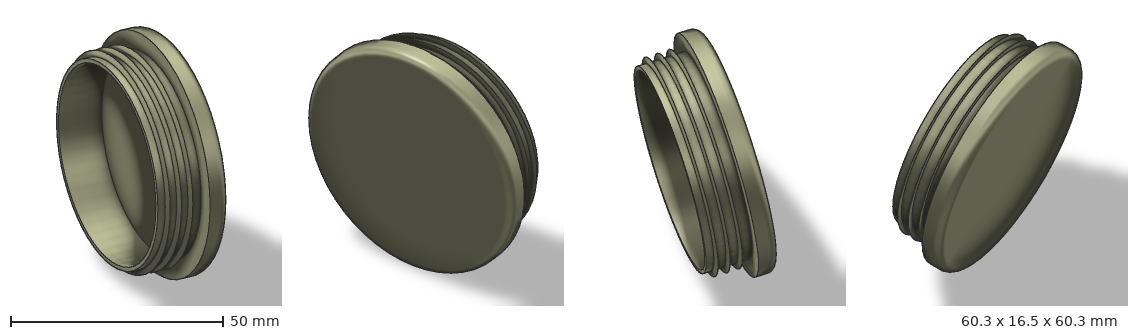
import cadquery as cq

total_length = 16.5
head_diameter = 60.3
head_thickness = 5.0
head_rounding = 2.0

plug_diameter = 51.3
bore_diameter = 49.3
floor_thickness = head_thickness

lip_diameter = 54.35
lip_base_width = 0.5
lip_count = 3
lip_pitch = 3.0
first_lip_offset = 3.0

AXIS_PLANE = "XZ"


def make_head():
    head = cq.Workplane(AXIS_PLANE).circle(head_diameter / 2).extrude(head_thickness)
    return head.faces(">Y").edges().fillet(head_rounding)


def make_plug():
    return cq.Workplane(AXIS_PLANE).circle(plug_diameter / 2).extrude(total_length)


def make_lip(distance):
    """Sharp conical lip whose flat side lies at the given distance from the outer face."""
    flat_side = cq.Workplane(AXIS_PLANE, origin=(0, -distance, 0))
    return (
        flat_side.circle(lip_diameter / 2)
        .workplane(offset=lip_base_width)
        .circle(plug_diameter / 2)
        .loft(ruled=True)
    )


def make_bore():
    floor = cq.Workplane(AXIS_PLANE, origin=(0, -floor_thickness, 0))
    return floor.circle(bore_diameter / 2).extrude(total_length - floor_thickness)


result = make_head().union(make_plug())
for index in range(lip_count):
    result = result.union(make_lip(head_thickness + first_lip_offset + index * lip_pitch))
result = result.cut(make_bore())